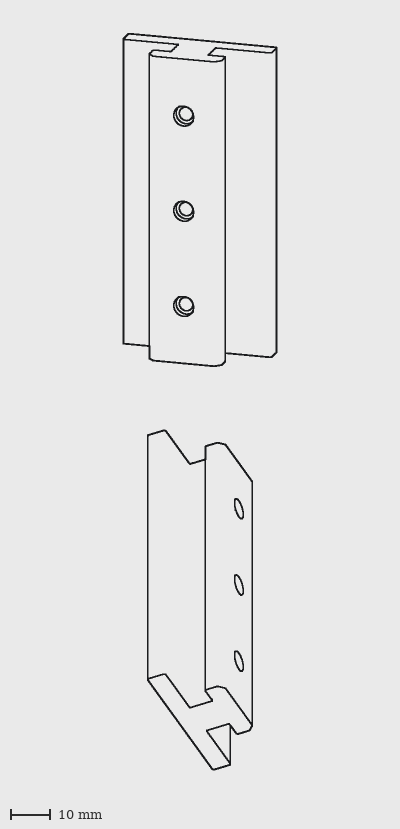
import cadquery as cq

rail_length = 80.0
total_depth = 16.3

plate_width = 39.0
plate_thickness = 5.0
neck_width = 9.8
neck_depth = 6.3
head_width = 19.0
head_depth = total_depth - plate_thickness - neck_depth

edge_radius = 0.5
neck_corner_radius = 0.2
head_chamfer = 1.5

hole_diameter = 3.5
counterbore_diameter = 5.2
counterbore_depth = 2.0
hole_pitch = 25.0
hole_count = 3

front_y = -total_depth / 2
head_back_y = front_y + head_depth
plate_front_y = head_back_y + neck_depth
back_y = plate_front_y + plate_thickness


def slab(width, y_start, y_end):
    """Full-length rectangular bar centred on X and Z, spanning y_start to y_end."""
    depth = y_end - y_start
    return cq.Workplane("XY").box(width, depth, rail_length).translate((0, (y_start + y_end) / 2, 0))


def make_plate():
    return slab(plate_width, plate_front_y, back_y).edges("|Z").fillet(edge_radius)


def make_neck():
    return slab(neck_width, head_back_y, plate_front_y)


def make_head():
    """Head with chamfered front corners; every lengthwise edge is rounded."""
    head = slab(head_width, front_y, head_back_y)
    head = head.edges("|Z and <Y").chamfer(head_chamfer)
    return head.edges("|Z").fillet(edge_radius)


def round_neck_corners(body):
    """Fillet the four inside corners where the neck meets the plate and the head."""
    reach = neck_corner_radius
    corner_zone = cq.selectors.BoxSelector(
        (-neck_width / 2 - reach, head_back_y - reach, -rail_length),
        (neck_width / 2 + reach, plate_front_y + reach, rail_length),
    )
    return body.edges("|Z").edges(corner_zone).fillet(neck_corner_radius)


def make_hole(z):
    """Counterbored through-hole cutter, running along +Y from the front face."""
    start = cq.Vector(0, front_y, z)
    direction = cq.Vector(0, 1, 0)
    bore = cq.Solid.makeCylinder(hole_diameter / 2, total_depth, start, direction)
    counterbore = cq.Solid.makeCylinder(counterbore_diameter / 2, counterbore_depth, start, direction)
    return bore.fuse(counterbore)


result = round_neck_corners(make_plate().union(make_neck()).union(make_head()))
for index in range(hole_count):
    hole_z = (index - (hole_count - 1) / 2) * hole_pitch
    result = result.cut(cq.Workplane(obj=make_hole(hole_z)))